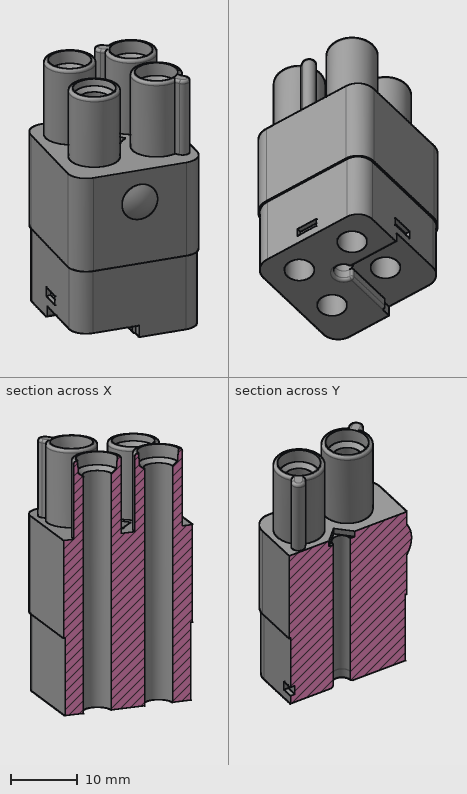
import cadquery as cq
import math

full_height = 40.0
step_height = 12.3
deck_height = 27.7

upper_width = 21.0
upper_corner_radius = 3.0
step_inset = 0.25
lower_width = upper_width - 2 * step_inset
lower_corner_radius = upper_corner_radius - step_inset

tower_diameter = 7.8
rim_fillet = 0.5
bore_diameter = 4.5
socket_mouth_diameter = 6.5
socket_floor_diameter = 6.1
socket_floor_height = 38.0
socket_cone_end_height = 37.35

left_tower_x = -5.55
right_tower_x = 3.35
left_tower_y = 4.95
right_back_y = 5.5
right_front_y = -4.5
short_tower_height = 39.05

rib_width = 2.15
rib_reach = 4.5
left_rib_angle = 236.0
right_rib_angle = 40.0

screw_hole_x = -1.1
screw_hole_diameter = 3.0
recess_side = 3.2
recess_depth = 1.0

pocket_width = 3.6
pocket_depth = 0.75
front_pocket_bottom = 3.45
left_pocket_bottom = 1.55
pocket_height = 1.5

notch_left_x = -1.4
notch_height = 1.9
notch_back_y = -0.5
notch_step_x = 8.6
notch_step_slant = 0.15
notch_step_back_y = 0.0
notch_edge_fillet = 0.5
notch_bore_fillet = 0.4

button_diameter = 5.75
button_bulge = 0.9
button_height = 22.5
button_root = 0.4


def rounded_block(width, corner_radius, bottom, top):
    block = cq.Workplane("XY").workplane(offset=bottom).rect(width, width).extrude(top - bottom)
    return block.edges("|Z").fillet(corner_radius)


def make_tower(x, y, top, rib_angle=None):
    """Solid tower with a rounded rim and, if an angle is given, a coding rib along its side."""
    height = top - deck_height
    tower = cq.Workplane("XY").circle(tower_diameter / 2).extrude(height)
    if rib_angle is not None:
        web = cq.Workplane("XY").center(rib_reach / 2, 0).rect(rib_reach, rib_width).extrude(height)
        round_end = cq.Workplane("XY").center(rib_reach, 0).circle(rib_width / 2).extrude(height)
        rib = web.union(round_end).rotate((0, 0, 0), (0, 0, 1), rib_angle)
        tower = tower.union(rib)
    return tower.faces(">Z").edges().fillet(rim_fillet).translate((x, y, deck_height))


def make_tower_bore(x, y, top):
    """Through bore with a funnel-shaped socket at the top of the tower."""
    profile = [
        (0, 0),
        (bore_diameter / 2, 0),
        (bore_diameter / 2, socket_cone_end_height),
        (socket_floor_diameter / 2, socket_floor_height),
        (socket_mouth_diameter / 2, top),
        (0, top),
    ]
    bore = cq.Workplane("XZ").polyline(profile).close().revolve(360, (0, 0), (0, 1))
    return bore.translate((x, y, 0))


def cut_notch(body):
    """Open the front right corner of the base back to the screw hole and round the notch edges."""
    outside = upper_width
    outline = [
        (notch_left_x, -outside),
        (notch_left_x, notch_back_y),
        (notch_step_x, notch_back_y),
        (notch_step_x + notch_step_slant, notch_step_back_y),
        (outside, notch_step_back_y),
        (outside, -outside),
    ]
    notch = cq.Workplane("XY").polyline(outline).close().extrude(notch_height)
    hole = cq.Workplane("XY").center(screw_hole_x, 0).circle(screw_hole_diameter / 2).extrude(notch_height)

    chord = math.sqrt((screw_hole_diameter / 2) ** 2 - notch_back_y ** 2)
    breakout = cq.selectors.NearestToPointSelector((screw_hole_x + chord, notch_back_y, notch_height / 2))
    body = body.cut(notch).cut(hole)
    body = body.edges("|Z").edges(breakout).fillet(notch_bore_fillet)

    back_wall_middle = ((notch_left_x + notch_step_x) / 2, notch_back_y, 0)
    left_wall_middle = (notch_left_x, -lower_width / 4, 0)
    back_edge = cq.selectors.NearestToPointSelector(back_wall_middle)
    left_edge = cq.selectors.NearestToPointSelector(left_wall_middle)
    base_edges = body.faces("<Z").edges()
    return base_edges.edges(back_edge + left_edge).fillet(notch_edge_fillet)


def make_button():
    """Spherical cap whose base circle lies on the right side of the upper body."""
    radius = button_diameter / 2
    sphere_radius = (radius ** 2 + button_bulge ** 2) / (2 * button_bulge)
    half_angle = math.asin(radius / sphere_radius) / 2
    centre = button_bulge - sphere_radius
    arc_middle = (centre + sphere_radius * math.cos(half_angle), sphere_radius * math.sin(half_angle))
    half_profile = (
        cq.Workplane("XY")
        .moveTo(-button_root, 0)
        .lineTo(button_bulge, 0)
        .threePointArc(arc_middle, (0, radius))
        .lineTo(-button_root, radius)
        .close()
    )
    cap = half_profile.revolve(360, (0, 0), (1, 0))
    return cap.translate((upper_width / 2, 0, button_height))


towers = [
    (left_tower_x, left_tower_y, full_height, left_rib_angle),
    (left_tower_x, -left_tower_y, full_height, None),
    (right_tower_x, right_back_y, full_height, right_rib_angle),
    (right_tower_x, right_front_y, short_tower_height, None),
]

body = cut_notch(rounded_block(lower_width, lower_corner_radius, 0, step_height))
body = body.union(rounded_block(upper_width, upper_corner_radius, step_height, deck_height))

for x, y, top, rib_angle in towers:
    body = body.union(make_tower(x, y, top, rib_angle))
for x, y, top, rib_angle in towers:
    body = body.cut(make_tower_bore(x, y, top))

screw_hole = cq.Workplane("XY").circle(screw_hole_diameter / 2).extrude(deck_height)
recess = cq.Workplane("XY").rect(recess_side, recess_side).extrude(recess_depth)
recess = recess.rotate((0, 0, 0), (0, 0, 1), 45).translate((0, 0, deck_height - recess_depth))
body = body.cut(screw_hole.union(recess).translate((screw_hole_x, 0, 0)))

front_pocket = cq.Workplane("XY").box(pocket_width, 2 * pocket_depth, pocket_height)
front_pocket_z = front_pocket_bottom + pocket_height / 2
body = body.cut(front_pocket.translate((0, -lower_width / 2, front_pocket_z)))
left_pocket = cq.Workplane("XY").box(2 * pocket_depth, pocket_width, pocket_height)
left_pocket_z = left_pocket_bottom + pocket_height / 2
body = body.cut(left_pocket.translate((-lower_width / 2, 0, left_pocket_z)))

result = body.union(make_button())